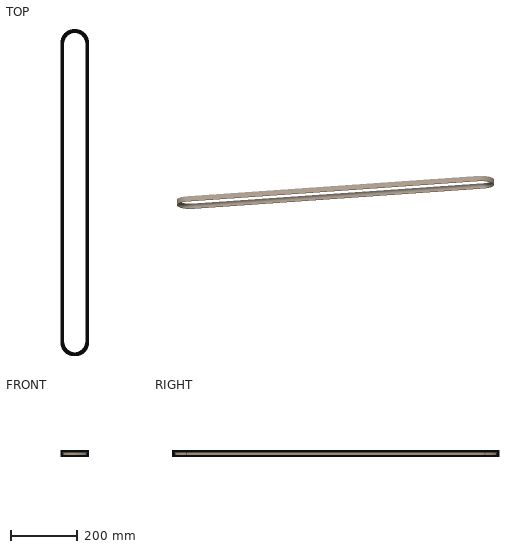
import cadquery as cq

loop_width = 80.0
loop_length = 980.0
belt_height = 15.0
belt_thickness = 5.0


def stadium(length, width):
    """Solid oblong with semicircular ends, long axis along Y, centred on the origin."""
    return (
        cq.Workplane("XY")
        .slot2D(length, width, 90)
        .extrude(belt_height / 2, both=True)
    )


outer_body = stadium(loop_length, loop_width)
inner_opening = stadium(loop_length - 2 * belt_thickness, loop_width - 2 * belt_thickness)

result = outer_body.cut(inner_opening)